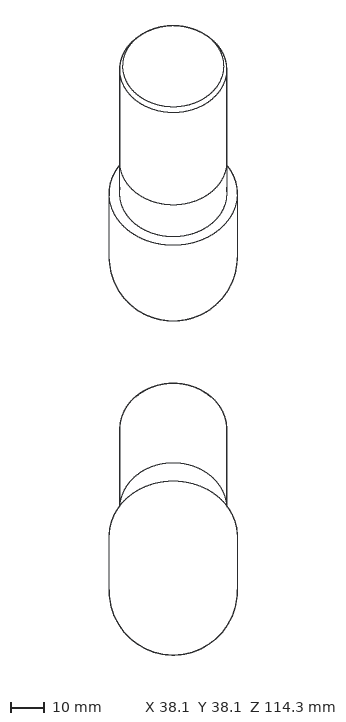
import cadquery as cq

total_height = 114.3
head_diameter = 38.1
shoulder_height = 50.7
shank_diameter = 31.8
split_height = 66.6
chamfer_height = 1.6
chamfer_width = 0.9

head_radius = head_diameter / 2
shank_radius = shank_diameter / 2


def make_nose():
    """Round-ended head with a short shank stub, standing on the tip of its dome."""
    profile = (
        cq.Workplane("XZ")
        .lineTo(0, split_height)
        .lineTo(shank_radius, split_height)
        .lineTo(shank_radius, shoulder_height)
        .lineTo(head_radius, shoulder_height)
        .lineTo(head_radius, head_radius)
        .radiusArc((0, 0), head_radius)
        .close()
    )
    return profile.revolve(360, (0, 0, 0), (0, 1, 0))


def make_shank():
    """Plain cylinder seated on the stub, with a chamfered top edge."""
    return (
        cq.Workplane("XY", origin=(0, 0, split_height))
        .circle(shank_radius)
        .extrude(total_height - split_height)
        .faces(">Z")
        .edges()
        .chamfer(chamfer_height, chamfer_width)
    )


nose = make_nose()
shank = make_shank()

result = cq.Compound.makeCompound([nose.val(), shank.val()])